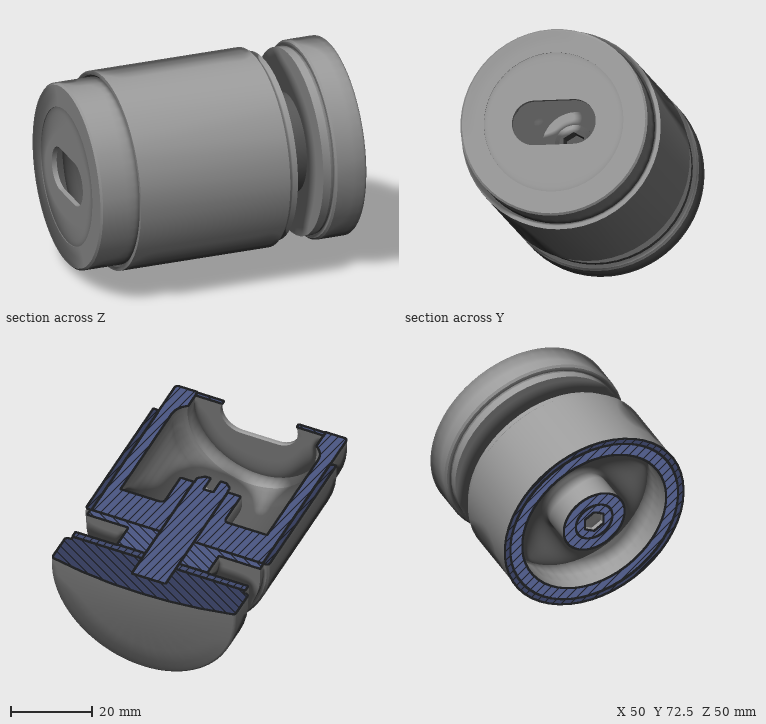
import cadquery as cq
import math


OUTER_DIA = 50.0
TOTAL_LENGTH = 72.5
EDGE_CHAMFER = 0.5

PLUG_DIA = 47.0
PLUG_EXPOSED = 10.0
SLEEVE_LENGTH = 40.0
PAD_DIA = 47.35
PAD_THICKNESS = 2.0
NECK_DIA = 25.1
NECK_LENGTH = 6.75

HEAD_BOSS_LENGTH = 0.7
HEAD_DOME_HEIGHT = 2.75
HEAD_DOME_FILLET = 0.7

DISC_DIA = 35.0
DISC_THICKNESS = 1.3
DISC_RECESS = 0.2
SLOT_LENGTH = 21.0
SLOT_WIDTH = 11.25

CHAMBER_DIA = 40.0
CHAMBER_WALL_START = 10.1
CHAMBER_ROUND = 5.0
END_WALL_THICKNESS = 10.0
BOSS_DIA = 17.1
BOSS_HEIGHT = 10.0
BOSS_FILLET = 1.0

SCREW_DIA = 10.0
SCREW_END_CHAMFER = 1.4
SCREW_STICK_OUT = 2.9
SCREW_DEPTH_IN_HEAD = 5.8
SOCKET_ACROSS_FLATS = 5.1
SOCKET_DEPTH = 4.35
HEX_TURN = 30

SELECT_MARGIN = 0.1

SLEEVE_START = PLUG_EXPOSED
SLEEVE_END = SLEEVE_START + SLEEVE_LENGTH
FLANGE_END = SLEEVE_END + PAD_THICKNESS
NECK_END = FLANGE_END + NECK_LENGTH
WASHER_END = NECK_END + PAD_THICKNESS
HEAD_START = WASHER_END + HEAD_BOSS_LENGTH
DOME_START = TOTAL_LENGTH - HEAD_DOME_HEIGHT
CHAMBER_FLOOR = SLEEVE_END - END_WALL_THICKNESS
BOSS_TOP = CHAMBER_FLOOR - BOSS_HEIGHT
SCREW_START = BOSS_TOP - SCREW_STICK_OUT
SCREW_END = WASHER_END + SCREW_DEPTH_IN_HEAD


def plane_at(y):
    """Work plane across the axis at height y, facing -Y, with local x along X."""
    return cq.Workplane("XZ", origin=(0, y, 0))


def cylinder(diameter, start, end):
    """Cylinder on the axis from start to end."""
    return plane_at(start).circle(diameter / 2).extrude(start - end)


def make_chamber():
    """Hollow of the plug: a mouth as wide as the disc, rounded out to the chamber wall."""
    mouth_radius = DISC_DIA / 2
    wall_radius = CHAMBER_DIA / 2
    arc_angle = math.acos(1 - (wall_radius - mouth_radius) / CHAMBER_ROUND)
    arc_start, arc_mid = (
        (
            wall_radius - CHAMBER_ROUND * (1 - math.cos(angle)),
            CHAMBER_WALL_START - CHAMBER_ROUND * math.sin(angle),
        )
        for angle in (arc_angle, arc_angle / 2)
    )
    return (
        cq.Workplane("XY")
        .lineTo(mouth_radius, 0)
        .lineTo(*arc_start)
        .threePointArc(arc_mid, (wall_radius, CHAMBER_WALL_START))
        .lineTo(wall_radius, CHAMBER_FLOOR)
        .lineTo(0, CHAMBER_FLOOR)
        .close()
        .revolve(360, (0, 0, 0), (0, 1, 0))
    )


def make_plug():
    """Hollow core cylinder with a filleted screw boss on the inside of its end wall."""
    shell = cylinder(PLUG_DIA, 0, SLEEVE_END).faces("<Y").chamfer(EDGE_CHAMFER).cut(make_chamber())
    boss = cylinder(BOSS_DIA, BOSS_TOP, CHAMBER_FLOOR)
    boss_root = cq.selectors.BoxSelector(
        (-BOSS_DIA, CHAMBER_FLOOR - SELECT_MARGIN, -BOSS_DIA),
        (BOSS_DIA, CHAMBER_FLOOR + SELECT_MARGIN, BOSS_DIA),
        boundingbox=True,
    )
    body = shell.union(boss).edges(boss_root).fillet(BOSS_FILLET)
    return body.cut(cylinder(SCREW_DIA, BOSS_TOP, SLEEVE_END))


def make_disc():
    """Slotted disc set just inside the mouth of the plug."""
    disc = cylinder(DISC_DIA, DISC_RECESS, DISC_RECESS + DISC_THICKNESS)
    slot = plane_at(DISC_RECESS).slot2D(SLOT_LENGTH, SLOT_WIDTH).extrude(-DISC_THICKNESS)
    return disc.cut(slot)


def make_sleeve():
    """Tube around the plug, chamfered inside at its start and outside at its end."""
    tube = cylinder(OUTER_DIA, SLEEVE_START, SLEEVE_END).faces(">Y").chamfer(EDGE_CHAMFER)
    tube = tube.cut(cylinder(PLUG_DIA, SLEEVE_START, SLEEVE_END))
    return tube.faces("<Y").edges(cq.selectors.RadiusNthSelector(0)).chamfer(EDGE_CHAMFER)


def make_bushing():
    """Flanged spacer: a flange on the sleeve and a narrower neck, bored for the screw."""
    flange = cylinder(PAD_DIA, SLEEVE_END, FLANGE_END)
    neck = cylinder(NECK_DIA, FLANGE_END, NECK_END)
    return flange.union(neck).cut(cylinder(SCREW_DIA, SLEEVE_END, NECK_END))


def make_washer():
    """Flat washer between the bushing and the head, bored for the screw."""
    return cylinder(PAD_DIA, NECK_END, WASHER_END).cut(cylinder(SCREW_DIA, NECK_END, WASHER_END))


def make_head():
    """Domed cap with a short boss and a blind hole for the screw."""
    radius = OUTER_DIA / 2
    dome_radius = (radius**2 + HEAD_DOME_HEIGHT**2) / (2 * HEAD_DOME_HEIGHT)
    mid_x = radius / 2
    mid_y = TOTAL_LENGTH - dome_radius + math.sqrt(dome_radius**2 - mid_x**2)
    cap = (
        cq.Workplane("XY")
        .moveTo(0, HEAD_START)
        .lineTo(radius - EDGE_CHAMFER, HEAD_START)
        .lineTo(radius, HEAD_START + EDGE_CHAMFER)
        .lineTo(radius, DOME_START)
        .threePointArc((mid_x, mid_y), (0, TOTAL_LENGTH))
        .close()
        .revolve(360, (0, 0, 0), (0, 1, 0))
    )
    rim = cq.selectors.BoxSelector(
        (-OUTER_DIA, DOME_START - SELECT_MARGIN, -OUTER_DIA),
        (OUTER_DIA, DOME_START + SELECT_MARGIN, OUTER_DIA),
        boundingbox=True,
    )
    cap = cap.edges(rim).fillet(HEAD_DOME_FILLET)
    boss = cylinder(PLUG_DIA, WASHER_END, HEAD_START)
    return cap.union(boss).cut(cylinder(SCREW_DIA, WASHER_END, SCREW_END))


def make_screw():
    """Headless screw with a chamfered end and a hexagon socket, corners along Z."""
    shank = cylinder(SCREW_DIA, SCREW_START, SCREW_END).faces("<Y").chamfer(SCREW_END_CHAMFER)
    across_corners = SOCKET_ACROSS_FLATS / math.cos(math.pi / 6)
    socket = plane_at(SCREW_START).polygon(6, across_corners).extrude(-SOCKET_DEPTH)
    socket = socket.rotate((0, 0, 0), (0, 1, 0), HEX_TURN)
    return shank.cut(socket)


plug = make_plug()
disc = make_disc()
sleeve = make_sleeve()
bushing = make_bushing()
washer = make_washer()
head = make_head()
screw = make_screw()

result = cq.Compound.makeCompound(
    [body.val() for body in (plug, disc, sleeve, bushing, washer, head, screw)]
)